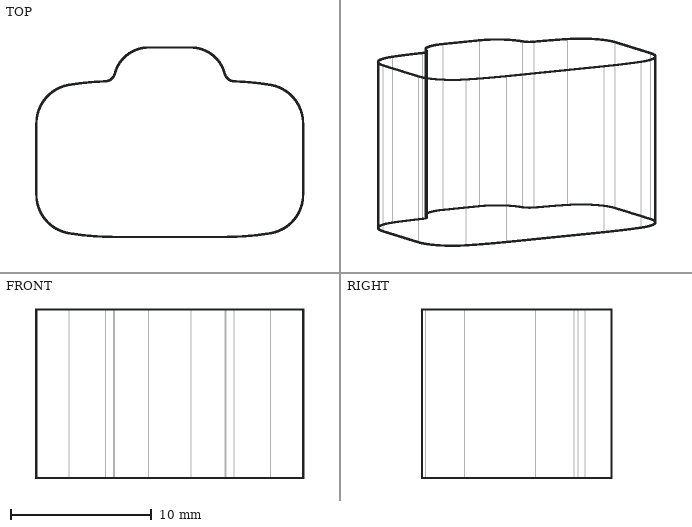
import cadquery as cq
import math

height = 12.0
body_width = 19.0
body_depth = 11.1
total_depth = 13.5
front_flat_half = 4.0
crown_radius = 19.3
corner_radius = 2.8
bump_flat_half = 1.5
bump_radius = 2.5
root_radius = 0.7

half_width = body_width / 2
corner_x = half_width - corner_radius
crown_run = corner_x - front_flat_half
crown_rise = math.sqrt((crown_radius - corner_radius)**2 - crown_run**2)
corner_y = crown_radius - crown_rise

front_crown_center = (front_flat_half, crown_radius)
front_corner_center = (corner_x, corner_y)
back_corner_center = (corner_x, body_depth - corner_y)
back_crown_center = (front_flat_half, body_depth - crown_radius)
bump_center = (bump_flat_half, total_depth - bump_radius)


def polar(center, radius, angle):
    """Point on a circle, with the angle in radians from +X."""
    return (center[0] + radius * math.cos(angle), center[1] + radius * math.sin(angle))


def direction(start, end):
    """Angle in radians from +X of the line from start to end."""
    return math.atan2(end[1] - start[1], end[0] - start[0])


def outer_tangent_center(first_center, first_radius, second_center, second_radius, radius):
    """Center of the circle touching two others from outside, right of the line from first to second."""
    first_reach = first_radius + radius
    second_reach = second_radius + radius
    span = math.dist(first_center, second_center)
    cosine = (first_reach**2 + span**2 - second_reach**2) / (2 * first_reach * span)
    angle = direction(first_center, second_center) - math.acos(cosine)
    return polar(first_center, first_reach, angle)


def add_arc(outline, center, radius, start_angle, end_angle):
    """Continue the outline along an arc from its current point at start_angle."""
    middle = polar(center, radius, (start_angle + end_angle) / 2)
    return outline.threePointArc(middle, polar(center, radius, end_angle))


def make_half():
    """The +X half of the part: front face on Y = 0, bump at the back."""
    forward = -math.pi / 2
    backward = math.pi / 2
    front_crown_end = direction(front_crown_center, front_corner_center)
    back_crown_start = direction(back_crown_center, back_corner_center)

    root_center = outer_tangent_center(
        back_crown_center, crown_radius, bump_center, bump_radius, root_radius
    )
    back_crown_end = direction(back_crown_center, root_center)
    shoulder_start = direction(bump_center, root_center)
    root_start = back_crown_end - math.pi
    root_end = shoulder_start - math.pi

    outline = cq.Workplane("XY").lineTo(front_flat_half, 0)
    outline = add_arc(outline, front_crown_center, crown_radius, forward, front_crown_end)
    outline = add_arc(outline, front_corner_center, corner_radius, front_crown_end, 0)
    outline = outline.lineTo(half_width, back_corner_center[1])
    outline = add_arc(outline, back_corner_center, corner_radius, 0, back_crown_start)
    outline = add_arc(outline, back_crown_center, crown_radius, back_crown_start, back_crown_end)
    outline = add_arc(outline, root_center, root_radius, root_start, root_end)
    outline = add_arc(outline, bump_center, bump_radius, shoulder_start, backward)
    return outline.lineTo(0, total_depth).close().extrude(height)


half = make_half()
result = half.union(half.mirror("YZ")).clean()